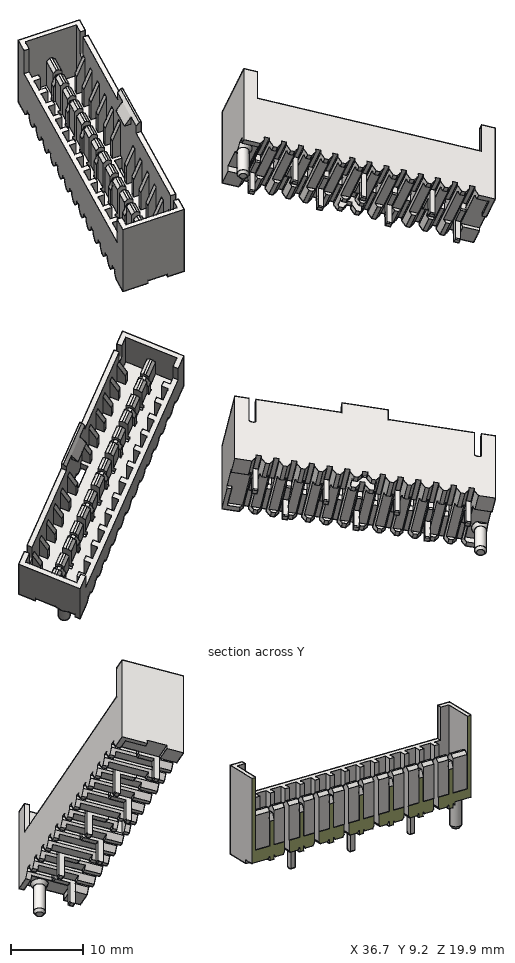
import cadquery as cq

LENGTH = 36.7
HEIGHT = 13.55
DEPTH = 9.2
WALL = 0.77
END_WALL = 0.65
FLOOR_TOP = 2.5
FRONT_TOP = 8.5

PITCH = 2.5
POSITIONS = 13
SLOT_WIDTH = 0.75
SLOT_HALF_DEPTH = 1.0

CORNER_POST = 2.02
SLIT_WIDTH = 0.95
SLIT_FILLET = 0.35

TAB_WIDTH = 6.55
TAB_HEIGHT = 2.1
TAB_LIP = 0.3
TAB_BEVEL_DROP = 0.55
LATCH_WIDTH = 3.0
LATCH_REACH = 1.0
LATCH_SLOT_WIDTH = 3.4
LATCH_SLOT_REACH = 1.1

RIDGE_TOP = 8.2
RIDGE_WIDTH = 1.3
RIDGE_BEVEL = 0.48

FRONT_RIB_REACH = 1.0
BACK_RIB_WIDTH = 0.65
BACK_RIB_REACH = 1.25
BACK_RIB_TOP = 9.65
BACK_RIB_SHOULDER = 6.25

NOTCH_HEIGHT = 1.43
NOTCH_FLARE_HEIGHT = 0.9
NOTCH_MOUTH = 1.9

RECESS_HEIGHT = 1.03
RECESS_LENGTH = 2.68
RECESS_BACK = 2.1
CAVITY_HEIGHT = 0.55
END_OPENING_FRONT = -0.8

CONTACT_WIDTH = 1.8
CONTACT_TOP = 7.23
CONTACT_TIP = 0.55
CONTACT_NECK = 1.55
CONTACT_NECK_Z = 6.0
CONTACT_SHOULDER = 5.6
FOOT_BOTTOM = 0.22
FOOT_TOP = NOTCH_HEIGHT
FOOT_LOWER_BEVEL = 0.2
FOOT_UPPER_BEVEL = 0.1
ROW_OFFSET = 1.87
PIN_WIDTH = 0.85
PIN_LENGTH = 3.23
PIN_BEVEL = 0.15

PEG_DIAMETER = 1.7
PEG_LENGTH = 4.25
PEG_TIP_BEVEL = 0.3
PEG_TIP_HEIGHT = 0.45
PEG_CONE_BOTTOM = 0.45
PEG_CONE_TOP_RADIUS = 1.25

half_length = LENGTH / 2
front = -DEPTH / 2
back = DEPTH / 2
inner_front = front + WALL
inner_back = back - WALL
positions = [(i - (POSITIONS - 1) / 2) * PITCH for i in range(POSITIONS)]
middle = POSITIONS // 2


def block(x0, x1, y0, y1, z0, z1):
    """Axis-aligned box between two opposite corners."""
    return cq.Workplane("XY").box(x1 - x0, y1 - y0, z1 - z0, centered=False).translate((x0, y0, z0))


def plate(points, x_center, width):
    """Prism of a (y, z) outline, centred on x_center."""
    prism = cq.Workplane("YZ").polyline(points).close().extrude(width / 2, both=True)
    return prism.translate((x_center, 0, 0))


def make_shell():
    """Open box with a lowered front wall and slits beside the back wall."""
    shell = block(-half_length, half_length, front, back, 0, HEIGHT)
    shell = shell.cut(block(-half_length + END_WALL, half_length - END_WALL,
                            inner_front, inner_back, FLOOR_TOP, HEIGHT))
    opening = half_length - CORNER_POST
    shell = shell.cut(block(-opening, opening, front, inner_front, FRONT_TOP, HEIGHT))
    for side in (-1, 1):
        x = side * (opening - SLIT_WIDTH / 2)
        slit = block(x - SLIT_WIDTH / 2, x + SLIT_WIDTH / 2, inner_back, back, FRONT_TOP, HEIGHT)
        shell = shell.cut(slit.edges("|Y and <Z").fillet(SLIT_FILLET))
    return shell


def make_latch():
    """Raised tab on the back wall with a wedge-shaped catch facing inward."""
    tab_top = HEIGHT + TAB_HEIGHT
    bevel_bottom = tab_top - TAB_BEVEL_DROP
    tab = plate([(back, HEIGHT), (back, tab_top), (back - TAB_LIP, tab_top),
                 (inner_back, bevel_bottom), (inner_back, HEIGHT)], 0, TAB_WIDTH)
    catch = plate([(inner_back, HEIGHT), (inner_back, bevel_bottom),
                   (inner_back - LATCH_REACH, HEIGHT)], 0, LATCH_WIDTH)
    return tab.union(catch)


def make_ridge():
    """Bevelled rail along the middle of the floor."""
    half = RIDGE_WIDTH / 2
    bevel_bottom = RIDGE_TOP - RIDGE_BEVEL
    flat = half - RIDGE_BEVEL
    return plate([(-half, 0), (-half, bevel_bottom), (-flat, RIDGE_TOP), (flat, RIDGE_TOP),
                  (half, bevel_bottom), (half, 0)], 0, LENGTH - 2 * END_WALL)


def front_rib(x):
    half = SLOT_WIDTH / 2
    return block(x - half, x + half, inner_front, inner_front + FRONT_RIB_REACH, 0, FRONT_TOP)


def back_rib(x):
    tip = inner_back - BACK_RIB_REACH
    return plate([(inner_back, 0), (inner_back, BACK_RIB_TOP), (tip, BACK_RIB_SHOULDER), (tip, 0)],
                 x, BACK_RIB_WIDTH)


def contact_slot(x):
    half = SLOT_WIDTH / 2
    return block(x - half, x + half, -SLOT_HALF_DEPTH, SLOT_HALF_DEPTH, 0, HEIGHT)


def notch(x):
    """Flared notch across the whole underside."""
    half = SLOT_WIDTH / 2
    mouth = NOTCH_MOUTH / 2
    return (cq.Workplane("XZ")
            .polyline([(-mouth, 0), (-half, NOTCH_FLARE_HEIGHT), (-half, NOTCH_HEIGHT),
                       (half, NOTCH_HEIGHT), (half, NOTCH_FLARE_HEIGHT), (mouth, 0)])
            .close().extrude(DEPTH / 2, both=True).translate((x, 0, 0)))


def underside_recess():
    """Cavity under the floor, open at both ends and deeper around the peg."""
    cavity = block(-half_length, half_length - END_WALL, inner_front, RECESS_BACK, 0, CAVITY_HEIGHT)
    end_opening = block(half_length - END_WALL, half_length,
                        END_OPENING_FRONT, RECESS_BACK, 0, CAVITY_HEIGHT)
    peg_recess = block(-half_length, RECESS_LENGTH - half_length,
                       inner_front, RECESS_BACK, 0, RECESS_HEIGHT)
    return cavity.union(end_opening).union(peg_recess)


def contact(x, row):
    """Contact blade with a foot and a solder pin; row is 1 for the back row, -1 for the front."""
    half = CONTACT_WIDTH / 2
    neck = CONTACT_NECK / 2
    tip = CONTACT_TIP / 2
    pin_inner = ROW_OFFSET - PIN_WIDTH / 2
    pin_outer = ROW_OFFSET + PIN_WIDTH / 2
    outline = [
        (-half, FOOT_BOTTOM + FOOT_LOWER_BEVEL), (-half, CONTACT_SHOULDER),
        (-neck, CONTACT_NECK_Z), (-tip, CONTACT_TOP),
        (tip, CONTACT_TOP), (neck, CONTACT_NECK_Z),
        (half, CONTACT_SHOULDER), (half, FOOT_TOP),
        (pin_outer - FOOT_UPPER_BEVEL, FOOT_TOP), (pin_outer, FOOT_TOP - FOOT_UPPER_BEVEL),
        (pin_outer, PIN_BEVEL - PIN_LENGTH), (pin_outer - PIN_BEVEL, -PIN_LENGTH),
        (pin_inner + PIN_BEVEL, -PIN_LENGTH), (pin_inner, PIN_BEVEL - PIN_LENGTH),
        (pin_inner, FOOT_BOTTOM), (FOOT_LOWER_BEVEL - half, FOOT_BOTTOM),
    ]
    return plate([(row * y, z) for y, z in outline], x, SLOT_WIDTH)


def make_peg():
    """Locating peg flush with the left end, widening in a trimmed cone up to the recess ceiling."""
    radius = PEG_DIAMETER / 2
    peg = (cq.Workplane("XZ")
           .polyline([(0, -PEG_LENGTH), (radius - PEG_TIP_BEVEL, -PEG_LENGTH),
                      (radius, PEG_TIP_HEIGHT - PEG_LENGTH), (radius, PEG_CONE_BOTTOM),
                      (PEG_CONE_TOP_RADIUS, RECESS_HEIGHT), (0, RECESS_HEIGHT)])
           .close().revolve(360, (0, 0, 0), (0, 1, 0))
           .translate((radius - half_length, -ROW_OFFSET, 0)))
    return peg.intersect(block(-half_length, 0, front, END_OPENING_FRONT, -PEG_LENGTH, RECESS_HEIGHT))


body = make_shell().union(make_latch()).union(make_ridge())
for index, x in enumerate(positions):
    body = body.union(front_rib(x))
    if index != middle:
        body = body.union(back_rib(x))

half_latch_slot = LATCH_SLOT_WIDTH / 2
body = body.cut(block(-half_latch_slot, half_latch_slot,
                      inner_back - LATCH_SLOT_REACH, inner_back, 0, FLOOR_TOP))
body = body.cut(underside_recess())
for x in positions:
    body = body.cut(contact_slot(x)).cut(notch(x))

for index, x in enumerate(positions):
    if index % 2 == 0:
        row = 1 if index % 4 == 0 else -1
        body = body.union(contact(x, row))

result = body.union(make_peg())